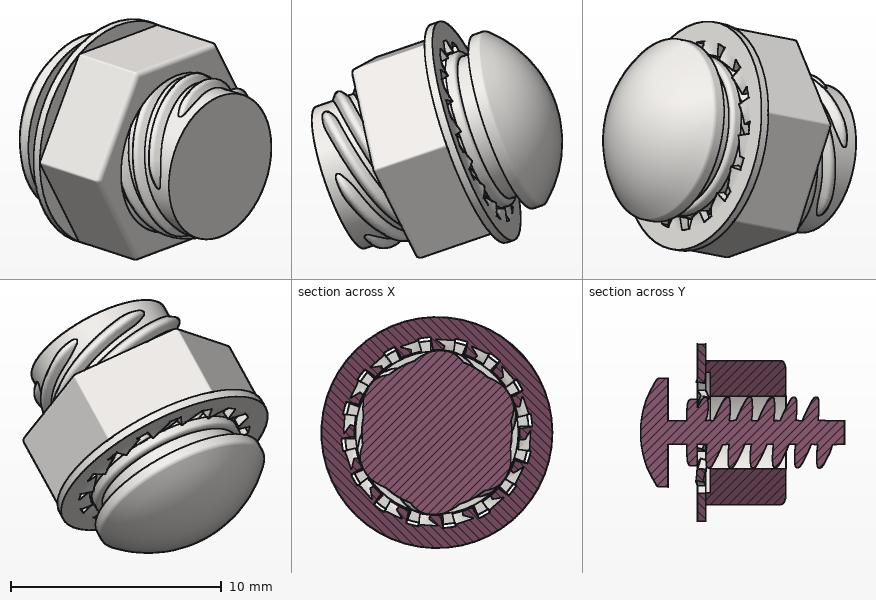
import cadquery as cq
import math


dome_radius = 5.68
head_radius = 4.36
head_length = 2.55
head_edge_fillet = 0.22
shaft_radius = 3.56
pin_length = 10.92
shoulder_radius = 3.86
shoulder_start = 3.43
shoulder_length = 0.5
shoulder_end = shoulder_start + shoulder_length
shoulder_fillet = 0.19

rib_count = 6
rib_lead = 6.3
rib_height = 0.34
rib_crest_radius = 0.22
rib_flank_angle = 37.0
rib_root_depth = 0.11
rib_front = 4.24
rib_back = 9.91
rib_back_angle = 75.0
runout_radius = 1.75
runout_angle = 60.0

bore_clearance = 0.01
bore_radius = shaft_radius + rib_height + bore_clearance

washer_radius = 5.48
washer_thickness = 0.41
washer_front = shoulder_end
washer_back = washer_front + washer_thickness
tooth_count = 16
tooth_pitch = 360 / tooth_count
tooth_angle = tooth_pitch * 2 / 3
tooth_offset_angle = -tooth_pitch / 6
tooth_root_radius = 4.53
tooth_blade_end = 3.81
tooth_twist = 20.0
tooth_overhang = 0.2
tooth_embed = 0.11

nut_across_flats = 9.5
nut_length = 3.8
nut_corner_fillet = 0.12
nut_end_fillet = 0.25


def cylinder(start, end, radius):
    """Cylinder on the X axis between two X positions."""
    return cq.Workplane("YZ", origin=(start, 0, 0)).circle(radius).extrude(end - start)


def turned_about_x(shape, angle):
    return shape.rotate((0, 0, 0), (1, 0, 0), angle)


def make_head():
    rim_start = dome_radius - math.sqrt(dome_radius**2 - head_radius**2)
    half_angle = math.asin(head_radius / dome_radius) / 2
    arc_middle = (dome_radius * (1 - math.cos(half_angle)), dome_radius * math.sin(half_angle))
    head = (
        cq.Workplane("XY")
        .moveTo(0, 0)
        .threePointArc(arc_middle, (rim_start, head_radius))
        .lineTo(head_length, head_radius)
        .lineTo(head_length, 0)
        .close()
        .revolve(360, (0, 0, 0), (1, 0, 0))
    )
    rim = cq.selectors.NearestToPointSelector((rim_start, 0, 0))
    return head.edges("%CIRCLE").edges(rim).fillet(head_edge_fillet)


def rib_profile():
    """Rib section square to its helix, on local +X: radial height first, then width."""
    helix_angle = math.atan(rib_lead / (2 * math.pi * shaft_radius))
    section = cq.Plane(
        origin=(shaft_radius, 0, 0),
        xDir=(1, 0, 0),
        normal=(0, math.cos(helix_angle), math.sin(helix_angle)),
    )
    flank = math.radians(rib_flank_angle)
    flank_top = rib_height - rib_crest_radius * (1 - math.sin(flank))
    crest_half_width = rib_crest_radius * math.cos(flank)
    root_half_width = crest_half_width + (flank_top + rib_root_depth) * math.tan(flank)
    return (
        cq.Workplane(section)
        .moveTo(-rib_root_depth, -root_half_width)
        .lineTo(flank_top, -crest_half_width)
        .threePointArc((rib_height, 0), (flank_top, crest_half_width))
        .lineTo(-rib_root_depth, root_half_width)
        .close()
    )


def make_rib():
    """One helical rib and its two runouts, wound along local Z and then laid along -X from rib_back."""
    winding_length = rib_back - rib_front
    helix = cq.Wire.makeHelix(rib_lead, winding_length, shaft_radius)
    winding = rib_profile().sweep(cq.Workplane(helix), isFrenet=True)
    pivot = rib_height - runout_radius
    runout = rib_profile().revolve(runout_angle, (pivot, -0.11, 0), (pivot, 0.11, 0))
    far_runout = (
        runout.rotate((0, 0, 0), (1, 0, 0), 180)
        .rotate((0, 0, 0), (0, 0, 1), 360 * winding_length / rib_lead)
        .translate((0, 0, winding_length))
    )
    rib = winding.union(runout).union(far_runout)
    return rib.rotate((0, 0, 0), (0, 1, 0), -90).translate((rib_back, 0, 0))


def make_pin():
    shoulder = cylinder(shoulder_start, shoulder_end, shoulder_radius)
    shoulder = shoulder.edges("<X").fillet(shoulder_fillet)
    pin = make_head().union(cylinder(head_length, pin_length, shaft_radius)).union(shoulder)
    rib = make_rib()
    for i in range(rib_count):
        pin = pin.union(turned_about_x(rib, rib_back_angle + i * 360 / rib_count))
    return pin


def make_tooth():
    """One tooth on +Z: a flat root block in the ring, then a blade that twists about its radial line."""
    half_angle = math.radians(tooth_angle / 2)
    root_width = 2 * tooth_root_radius * math.sin(half_angle)
    tip_width = 2 * tooth_blade_end * math.sin(half_angle)
    root_height = tooth_root_radius * math.cos(half_angle)
    root = cq.Workplane("XY", origin=((washer_front + washer_back) / 2, 0, root_height))
    block = root.rect(washer_thickness, root_width).extrude(tooth_embed)
    blade = (
        root.rect(washer_thickness, root_width)
        .transformed(offset=(0, 0, tooth_blade_end - root_height), rotate=(0, 0, tooth_twist))
        .rect(washer_thickness, tip_width)
        .loft(ruled=True)
    )
    return blade.union(block)


def make_washer():
    washer = cylinder(washer_front, washer_back, washer_radius)
    washer = washer.cut(cylinder(washer_front, washer_back, tooth_root_radius))
    tooth = make_tooth()
    for i in range(tooth_count):
        washer = washer.union(turned_about_x(tooth, tooth_offset_angle + i * tooth_pitch))
    return washer.cut(cylinder(washer_front - tooth_overhang, washer_back + tooth_overhang, bore_radius))


def make_nut():
    corner_diameter = nut_across_flats / math.cos(math.pi / 6)
    nut_back = washer_back + nut_length
    nut = cq.Workplane("YZ", origin=(washer_back, 0, 0)).polygon(6, corner_diameter).extrude(nut_length)
    nut = nut.edges("|X").fillet(nut_corner_fillet)
    nut = nut.faces(">X").edges().fillet(nut_end_fillet)
    nut = nut.cut(cylinder(washer_back, nut_back, bore_radius))
    return nut.cut(cylinder(washer_back, washer_back + tooth_overhang, tooth_root_radius))


pin = make_pin()
washer = make_washer()
nut = make_nut()

result = cq.Compound.makeCompound([body.solids().val() for body in (pin, washer, nut)])